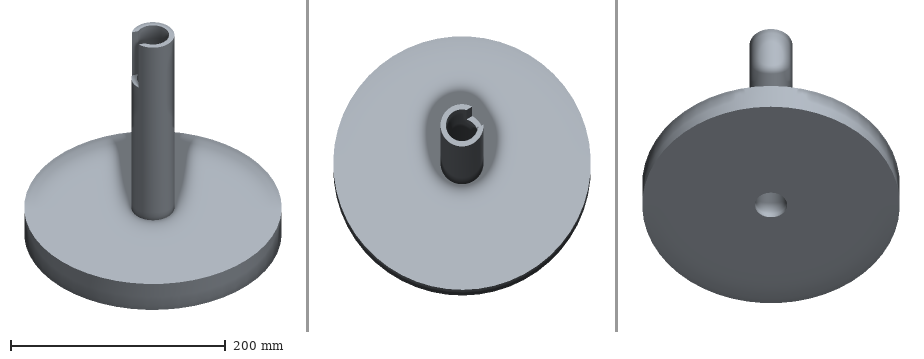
import cadquery as cq

base_diameter = 240.0
base_thickness = 30.0
total_height = 230.0
tube_diameter = 40.0
bore_diameter = 30.0
slot_width = 20.0
slot_depth = 50.0

tube_length = total_height - base_thickness
tube_radius = tube_diameter / 2

base = cq.Workplane("XY").circle(base_diameter / 2).extrude(base_thickness)

tube = cq.Workplane("XY").workplane(offset=base_thickness).circle(tube_radius).extrude(tube_length)
bore = cq.Workplane("XY").circle(bore_diameter / 2).extrude(total_height)

slot = (
    cq.Workplane("XY")
    .box(slot_width, tube_radius, slot_depth, centered=(True, False, False))
    .translate((0, -tube_radius, total_height - slot_depth))
)

result = base.union(tube).cut(bore).cut(slot)